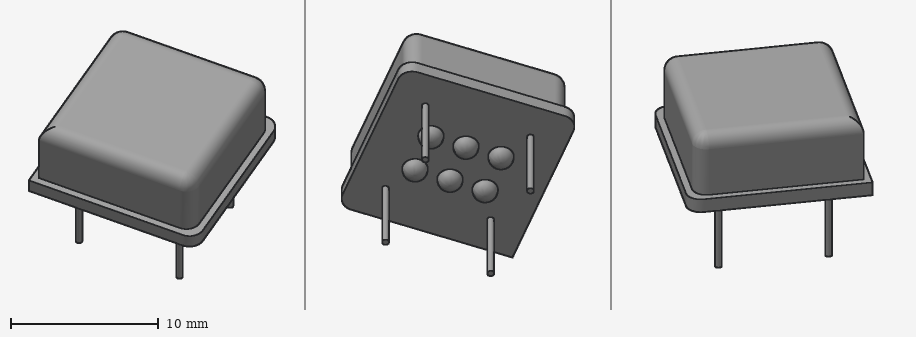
import cadquery as cq

base_side = 12.7
base_height = 1.02
base_corner_radius = 1.02

rim_width = 0.51
cover_side = base_side - 2 * rim_width
cover_height = 4.57
cover_corner_radius = 0.99
radius_clearance = 0.001
cover_top_radius = cover_corner_radius - radius_clearance

lead_diameter = 0.47
lead_pitch = 7.62
lead_length = 5.88

bead_radius = 0.88
bead_height = 0.8
bead_edge_radius = 0.76
bead_pitch_x = 2.54
bead_pitch_y = 3.05


def square_plate(side, height, corner_radius):
    """Square block on Z = 0 with a sharp (-X, -Y) corner and three round ones."""
    block = cq.Workplane("XY").box(side, side, height, centered=(True, True, False))
    return block.edges("|Z").edges(">X or >Y").fillet(corner_radius)


def make_cover():
    """Can whose upper edges are rounded all the way round."""
    cover = square_plate(cover_side, cover_height, cover_corner_radius)
    cover = cover.faces(">Z").edges().fillet(cover_top_radius)
    return cover.translate((0, 0, base_height))


def make_leads():
    """Four round leads, starting at the underside of the base."""
    return (
        cq.Workplane("XY")
        .rect(lead_pitch, lead_pitch, forConstruction=True)
        .vertices()
        .circle(lead_diameter / 2)
        .extrude(-lead_length)
    )


def make_beads():
    """Three by two grid of beads with rounded lower edges."""
    return (
        cq.Workplane("XY")
        .rarray(bead_pitch_x, bead_pitch_y, 3, 2)
        .circle(bead_radius)
        .extrude(-bead_height)
        .faces("<Z")
        .edges()
        .fillet(bead_edge_radius)
    )


base = square_plate(base_side, base_height, base_corner_radius)
result = base.union(make_cover()).union(make_leads()).union(make_beads())